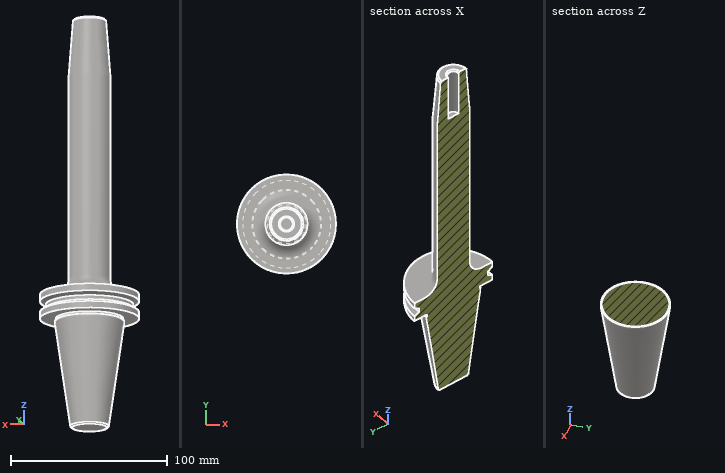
import cadquery as cq

overall_length = 268.5
shank_length = 68.5
nose_z = overall_length - shank_length

gauge_radius = 22.3
taper_on_diameter = 7 / 24
shank_end_radius = gauge_radius - shank_length * taper_on_diameter / 2
shank_chamfer = 1.0
gauge_band_height = 1.5
relief_radius = 21.7

flange_radius = 31.8
flange_bottom_z = 3.2
flange_top_z = 19.0
groove_center_z = 11.0
groove_opening = 7.0
groove_floor_width = 2.7
groove_floor_radius = 28.2

stem_radius = 13.55
stem_fillet = 10.0
nose_length = 38.0
nose_radius = 10.7
nose_chamfer = 1.0

bore_radius = 4.0
bore_depth = 36.0
bore_chamfer = 0.95


def make_shank():
    taper_height = shank_length - shank_chamfer
    taper_bottom_radius = gauge_radius - taper_height * taper_on_diameter / 2
    profile = (
        cq.Workplane("XZ")
        .moveTo(0, -shank_length)
        .lineTo(shank_end_radius - shank_chamfer, -shank_length)
        .lineTo(taper_bottom_radius, -taper_height)
        .lineTo(gauge_radius, 0)
        .lineTo(gauge_radius, gauge_band_height)
        .lineTo(relief_radius, gauge_band_height)
        .lineTo(relief_radius, flange_bottom_z)
        .lineTo(0, flange_bottom_z)
        .close()
    )
    return profile.revolve(360, (0, 0), (0, 1))


def make_flange():
    profile = (
        cq.Workplane("XZ")
        .moveTo(0, flange_bottom_z)
        .lineTo(flange_radius, flange_bottom_z)
        .lineTo(flange_radius, groove_center_z - groove_opening / 2)
        .lineTo(groove_floor_radius, groove_center_z - groove_floor_width / 2)
        .lineTo(groove_floor_radius, groove_center_z + groove_floor_width / 2)
        .lineTo(flange_radius, groove_center_z + groove_opening / 2)
        .lineTo(flange_radius, flange_top_z)
        .lineTo(0, flange_top_z)
        .close()
    )
    return profile.revolve(360, (0, 0), (0, 1))


def make_stem():
    fillet_foot_radius = stem_radius + stem_fillet
    fillet_top_z = flange_top_z + stem_fillet
    profile = (
        cq.Workplane("XZ")
        .moveTo(0, flange_top_z)
        .lineTo(fillet_foot_radius, flange_top_z)
        .radiusArc((stem_radius, fillet_top_z), stem_fillet)
        .lineTo(stem_radius, nose_z - nose_length)
        .lineTo(nose_radius, nose_z - nose_chamfer)
        .lineTo(nose_radius - nose_chamfer, nose_z)
        .lineTo(0, nose_z)
        .close()
    )
    return profile.revolve(360, (0, 0), (0, 1))


def make_bore():
    bore_bottom_z = nose_z - bore_depth
    profile = (
        cq.Workplane("XZ")
        .moveTo(0, bore_bottom_z)
        .lineTo(bore_radius, bore_bottom_z)
        .lineTo(bore_radius, nose_z - bore_chamfer)
        .lineTo(bore_radius + bore_chamfer, nose_z)
        .lineTo(0, nose_z)
        .close()
    )
    return profile.revolve(360, (0, 0), (0, 1))


result = make_shank().union(make_flange()).union(make_stem()).cut(make_bore())